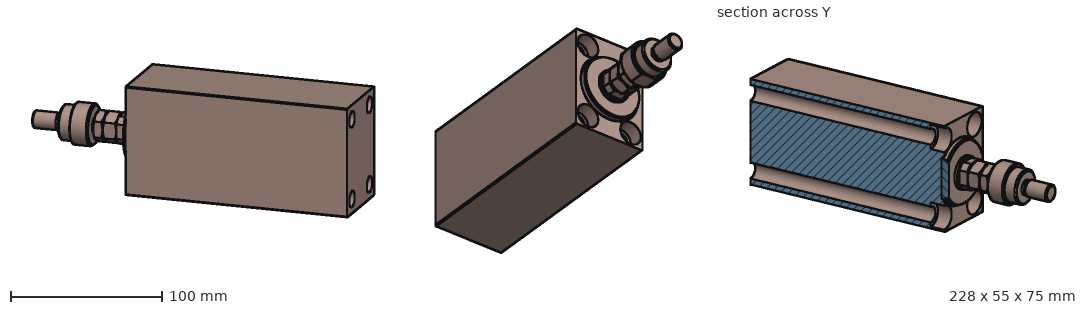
import cadquery as cq
import math

TOTAL_LENGTH = 228.0
BLOCK_WIDTH = 55.0
BLOCK_HEIGHT = 75.0
BLOCK_FRONT = 73.2
BLOCK_LENGTH = TOTAL_LENGTH - BLOCK_FRONT
BLOCK_EDGE_CHAMFER = 0.7

BOLT_SPACING_Y = 35.0
BOLT_SPACING_Z = 55.0
BOLT_DIAMETER = 11.0
COUNTERBORE_DIAMETER = 16.9
COUNTERBORE_DEPTH = 11.0

GLAND_FRONT = 69.3
GLAND_STEP = 70.7
GLAND_RADIUS = 22.5
GLAND_NOSE_RADIUS = 22.0
SEAT_DEPTH = 2.3
SEAT_BOTTOM = BLOCK_FRONT + SEAT_DEPTH
SEAT_CHAMFER = 1.1

SHAFT_FRONT = 66.8
SHAFT_RADIUS = 11.6
SHAFT_CHAMFER = 0.5
ROD_END_FRONT = 60.5
ROD_END_RADIUS = 10.7

ACROSS_FLATS = 19.0
HEX_FACE_RADIUS = 9.1
HEX_CHAMFER_ANGLE = 30.0
ROD_HEAD_FRONT = 50.8
NUT_FRONT = 44.0

THREAD_RADIUS = 6.0
THREAD_CHAMFER = 1.0
NECK_RADIUS = 5.2
STUD_END = 16.6
STUD_NECK = 18.0
COLLAR_FRONT = 20.0
COLLAR_RADIUS = 12.0
COLLAR_CHAMFER = 1.1
CASE_FRONT = 29.0
CASE_BACK = 42.0
CASE_RADIUS = 14.4
CASE_FRONT_CHAMFER = 0.7
CASE_BACK_CHAMFER = 1.1
CASE_FLAT_HEIGHT = 13.0
SHANK_THREAD_FRONT = 42.9


def cylinder(x_start, x_end, radius):
    """Cylinder on the X axis between two X positions."""
    return cq.Workplane("YZ", origin=(x_start, 0, 0)).circle(radius).extrude(x_end - x_start)


def revolved(profile):
    """Solid of revolution about the X axis from (x, radius) points that start and end on the axis."""
    return cq.Workplane("XY").polyline(profile).close().revolve(360, (0, 0, 0), (1, 0, 0))


def chamfered_hexagon(x_start, x_end):
    """Hexagon with a corner straight up, its corners turned off at both ends."""
    corner_radius = ACROSS_FLATS / 2 / math.cos(math.pi / 6)
    corner_cut = (corner_radius - HEX_FACE_RADIUS) * math.tan(math.radians(HEX_CHAMFER_ANGLE))
    hexagon = (
        cq.Workplane("YZ", origin=(x_start, 0, 0))
        .transformed(rotate=(0, 0, 90))
        .polygon(6, 2 * corner_radius)
        .extrude(x_end - x_start)
    )
    envelope = revolved([
        (x_start, 0),
        (x_start, HEX_FACE_RADIUS),
        (x_start + corner_cut, corner_radius),
        (x_end - corner_cut, corner_radius),
        (x_end, HEX_FACE_RADIUS),
        (x_end, 0),
    ])
    return hexagon.intersect(envelope)


def make_block():
    """Rectangular cylinder block with four counterbored holes and the gland recess."""
    block = (
        cq.Workplane("XY", origin=(BLOCK_FRONT + BLOCK_LENGTH / 2, 0, 0))
        .box(BLOCK_LENGTH, BLOCK_WIDTH, BLOCK_HEIGHT)
        .edges("|X")
        .chamfer(BLOCK_EDGE_CHAMFER)
    )
    block = (
        block.faces("<X")
        .workplane(centerOption="CenterOfBoundBox")
        .rect(BOLT_SPACING_Y, BOLT_SPACING_Z, forConstruction=True)
        .vertices()
        .cboreHole(BOLT_DIAMETER, COUNTERBORE_DIAMETER, COUNTERBORE_DEPTH)
    )
    gland_recess = revolved([
        (BLOCK_FRONT, 0),
        (BLOCK_FRONT, GLAND_RADIUS + SEAT_CHAMFER),
        (BLOCK_FRONT + SEAT_CHAMFER, GLAND_RADIUS),
        (SEAT_BOTTOM, GLAND_RADIUS),
        (SEAT_BOTTOM, 0),
    ])
    return block.cut(gland_recess)


def make_gland():
    """Stepped disc, bored for the rod's shaft."""
    nose = cylinder(GLAND_FRONT, GLAND_STEP, GLAND_NOSE_RADIUS)
    disc = cylinder(GLAND_STEP, SEAT_BOTTOM, GLAND_RADIUS)
    rod_bore = cylinder(GLAND_FRONT, SEAT_BOTTOM, SHAFT_RADIUS)
    return nose.union(disc).cut(rod_bore)


def make_rod():
    """Shaft through the gland, its end with four wrench flats, and the hexagonal head."""
    shaft = cylinder(SHAFT_FRONT, SEAT_BOTTOM, SHAFT_RADIUS).faces("<X").chamfer(SHAFT_CHAMFER)
    square = (
        cq.Workplane("YZ", origin=(ROD_END_FRONT, 0, 0))
        .rect(ACROSS_FLATS, ACROSS_FLATS)
        .extrude(SHAFT_FRONT - ROD_END_FRONT)
    )
    flatted_end = cylinder(ROD_END_FRONT, SHAFT_FRONT, ROD_END_RADIUS).intersect(square)
    head = chamfered_hexagon(ROD_HEAD_FRONT, ROD_END_FRONT)
    return shaft.union(flatted_end).union(head)


def make_lock_nut():
    """Thin hexagonal nut on the coupling's shank."""
    bore = cylinder(NUT_FRONT, ROD_HEAD_FRONT, THREAD_RADIUS)
    return chamfered_hexagon(NUT_FRONT, ROD_HEAD_FRONT).cut(bore)


def make_coupling():
    """Turned coupling whose shank ends at the rod head, with one flat along the bottom of its case."""
    turned = revolved([
        (0, 0),
        (0, THREAD_RADIUS - THREAD_CHAMFER),
        (THREAD_CHAMFER, THREAD_RADIUS),
        (STUD_END, THREAD_RADIUS),
        (STUD_NECK, NECK_RADIUS),
        (COLLAR_FRONT, NECK_RADIUS),
        (COLLAR_FRONT, COLLAR_RADIUS - COLLAR_CHAMFER),
        (COLLAR_FRONT + COLLAR_CHAMFER, COLLAR_RADIUS),
        (CASE_FRONT, COLLAR_RADIUS),
        (CASE_FRONT, CASE_RADIUS - CASE_FRONT_CHAMFER),
        (CASE_FRONT + CASE_FRONT_CHAMFER, CASE_RADIUS),
        (CASE_BACK - CASE_BACK_CHAMFER, CASE_RADIUS),
        (CASE_BACK, CASE_RADIUS - CASE_BACK_CHAMFER),
        (CASE_BACK, NECK_RADIUS),
        (SHANK_THREAD_FRONT, NECK_RADIUS),
        (SHANK_THREAD_FRONT + THREAD_CHAMFER, THREAD_RADIUS),
        (ROD_HEAD_FRONT, THREAD_RADIUS),
        (ROD_HEAD_FRONT, 0),
    ])
    below_flat = (
        cq.Workplane("XY", origin=((CASE_FRONT + CASE_BACK) / 2, 0, -CASE_FLAT_HEIGHT))
        .rect(CASE_BACK - CASE_FRONT, 2 * CASE_RADIUS)
        .extrude(-CASE_RADIUS)
    )
    return turned.cut(below_flat)


block = make_block()
gland = make_gland()
rod = make_rod()
lock_nut = make_lock_nut()
coupling = make_coupling()

result = cq.Compound.makeCompound([
    block.solids().val(),
    gland.solids().val(),
    rod.solids().val(),
    lock_nut.solids().val(),
    coupling.solids().val(),
])